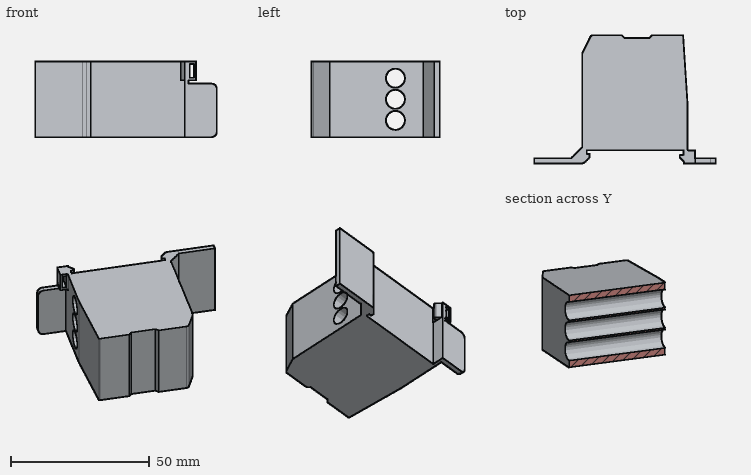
import cadquery as cq

length = 65.8
height = 46.5
width = 27.5

wall_left = 17.4
wall_right = 55.55
shoulder_x = 20.65
shoulder_y = 39.9
shoulder_radius = 1.3
top_right_x = 53.95
top_right_radius = 0.4
taper_start_y = 22.05
notch_left = 31.65
notch_right = 42.7
notch_depth = 1.05

channel_left = 19.15
channel_right = 54.2
channel_roof = 4.75
foot_thickness = 2.0
brace_start_x = 13.4
brace_top_y = foot_thickness + wall_left - brace_start_x
hook_tip_x = 20.15
hook_top_y = 3.55
hook_nose_y = 2.25
hook_base_radius = 2.0

foot_height = 19.5
foot_corner_radius = 2.05
latch_bottom = 20.6
latch_height = width - latch_bottom
lug_right = 58.3
lug_fillet = 0.6
window_left = 56.0
window_width = 1.45
window_bottom = 21.6
window_height = 4.95
latch_tip_x = 52.65
latch_face_x = 54.0
latch_low_y = 0.6
latch_nose_y = 2.25
latch_top_y = 3.15
latch_nose_radius = 0.4
latch_root_radius = 0.25

hole_diameter = 6.8
hole_count = 3
hole_pitch = 7.6
hole_y = 16.05


def block(x_start, x_end, depth, z_start, z_height):
    """Box standing on the mounting plane y = 0."""
    return cq.Workplane("XY").box(
        x_end - x_start, depth, z_height, centered=False
    ).translate((x_start, 0, z_start))


def round_edge(solid, x, y, radius):
    """Round the vertical edge nearest to (x, y)."""
    return solid.edges(
        cq.selectors.NearestToPointSelector((x, y, solid.val().Center().z))
    ).fillet(radius)


def make_housing():
    """Housing section with its left foot, fixed hook and right leg."""
    hook_base_x = hook_tip_x - hook_nose_y
    outline = [
        (0, 0),
        (hook_base_x, 0),
        (hook_tip_x, hook_nose_y),
        (hook_tip_x, hook_top_y),
        (channel_left, hook_top_y),
        (channel_left, channel_roof),
        (channel_right, channel_roof),
        (channel_right, 0),
        (wall_right, 0),
        (wall_right, taper_start_y),
        (top_right_x, height),
        (notch_right, height),
        (notch_right - notch_depth, height - notch_depth),
        (notch_left + notch_depth, height - notch_depth),
        (notch_left, height),
        (shoulder_x, height),
        (wall_left, shoulder_y),
        (wall_left, brace_top_y),
        (brace_start_x, foot_thickness),
        (0, foot_thickness),
    ]
    housing = cq.Workplane("XY").polyline(outline).close().extrude(width)
    for x, y, radius in (
        (hook_base_x, 0, hook_base_radius),
        (shoulder_x, height, shoulder_radius),
        (top_right_x, height, top_right_radius),
    ):
        housing = round_edge(housing, x, y, radius)
    return housing


def make_right_foot():
    """Flat foot with rounded outer corners."""
    foot = block(channel_right, length, foot_thickness, 0, foot_height)
    return foot.edges("|Y and >X").fillet(foot_corner_radius)


def make_lug():
    """Lug on the outer wall, blended into it by a concave fillet."""
    blend_top = channel_roof + lug_fillet
    sag = lug_fillet * (1 - 0.5 ** 0.5)
    return (
        cq.Workplane("XY", origin=(0, 0, latch_bottom))
        .moveTo(channel_right, 0)
        .lineTo(lug_right, 0)
        .lineTo(lug_right, channel_roof)
        .lineTo(wall_right + lug_fillet, channel_roof)
        .threePointArc((wall_right + sag, channel_roof + sag), (wall_right, blend_top))
        .lineTo(channel_right, blend_top)
        .close()
        .extrude(latch_height)
    )


def make_latch():
    """Rounded snap nose on the channel side of the right leg."""
    outline = [
        (wall_right, latch_low_y),
        (channel_right, latch_low_y),
        (latch_tip_x, latch_nose_y),
        (latch_tip_x, latch_top_y),
        (latch_face_x, latch_top_y),
        (latch_face_x, channel_roof),
        (wall_right, channel_roof),
    ]
    latch = (
        cq.Workplane("XY", origin=(0, 0, latch_bottom))
        .polyline(outline)
        .close()
        .extrude(latch_height)
    )
    for x, y, radius in (
        (latch_tip_x, latch_nose_y, latch_nose_radius),
        (latch_tip_x, latch_top_y, latch_nose_radius),
        (latch_face_x, latch_top_y, latch_root_radius),
    ):
        latch = round_edge(latch, x, y, radius)
    return latch


def make_wire_holes():
    """Row of round passages running through the housing along X."""
    middle = (hole_count - 1) / 2
    centers = [
        (hole_y, width / 2 + (i - middle) * hole_pitch) for i in range(hole_count)
    ]
    return cq.Workplane("YZ").pushPoints(centers).circle(hole_diameter / 2).extrude(length)


def make_window():
    """Rectangular slot through the lug along Y."""
    return block(
        window_left, window_left + window_width, height, window_bottom, window_height
    )


result = (
    make_housing()
    .union(make_right_foot())
    .union(make_lug())
    .union(make_latch())
    .cut(make_wire_holes())
    .cut(make_window())
)